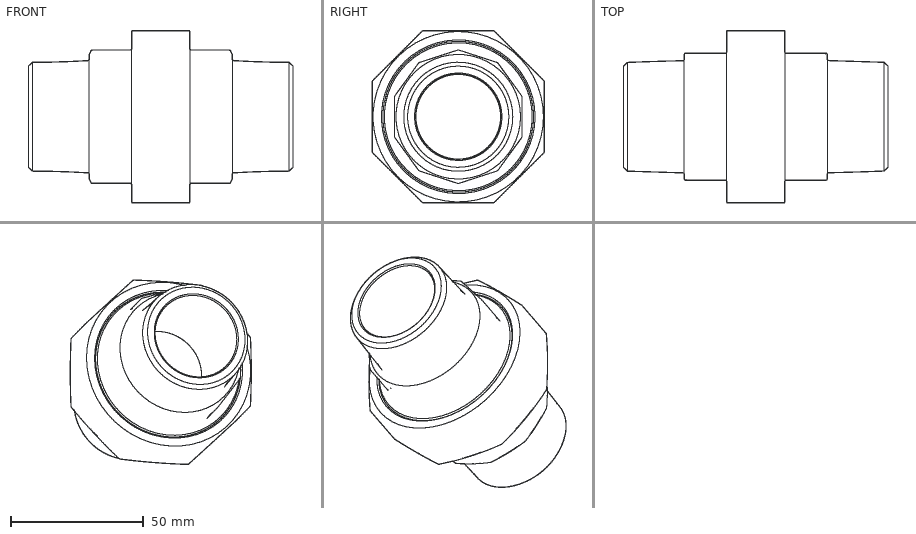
import cadquery as cq
import math

overall_length = 100.0
bore_dia = 32.0
bore_chamfer = 0.5

nut_width = 22.0
nut_across_flats = 65.0
nut_sides = 8
nut_bevel_dia = 64.3
nut_bevel_angle = 22.0
nut_bevel_edge_radius = 0.2

flange_dia = 56.9
joint_chamfer = 0.55

grip_end = 27.0
grip_across_flats = 48.0
grip_sides = 10
grip_bevel_dia = 47.0
grip_bevel_angle = 25.0
grip_bevel_edge_radius = 0.5
root_radius = 0.5
thread_base_dia = 42.5
thread_tip_dia = 38.2
thread_chamfer_length = 1.6
thread_taper = 1 / 16

corner_radius = 1.0

flange_face = nut_width / 2
fitting_end = overall_length / 2
smallest_circle = cq.selectors.RadiusNthSelector(0)


def rounded_prism(sides, across_flats, x_start, x_end):
    """Regular prism along X with two flats facing +Y and -Y and its corners rounded."""
    corner_dia = across_flats / math.cos(math.pi / sides)
    return (
        cq.Workplane("YZ", origin=(x_start, 0, 0))
        .transformed(rotate=(0, 0, 180 / sides))
        .polygon(sides, corner_dia)
        .extrude(x_end - x_start)
        .edges("|X")
        .fillet(corner_radius)
    )


def revolved(outline):
    """Solid turned about X from a list of (x, radius) points."""
    return cq.Workplane("XY").polyline(outline).close().revolve(360, (0, 0, 0), (1, 0, 0))


def bevel_cone(inner_x, face_x, face_dia, angle):
    """Cone that narrows from inner_x to face_dia at face_x, at an angle from the face plane."""
    face_radius = face_dia / 2
    wide_radius = face_radius + (face_x - inner_x) / math.tan(math.radians(angle))
    return revolved([(inner_x, 0), (inner_x, wide_radius), (face_x, face_radius), (face_x, 0)])


def round_bevel_edges(prism, radius):
    """Round the scalloped edges where the conical bevels meet the sides of the prism."""
    return prism.faces("%CONE").edges("not %CIRCLE").fillet(radius)


def make_nut():
    """Octagonal union nut, beveled at both ends, with a plain chamfered bore."""
    nut = rounded_prism(nut_sides, nut_across_flats, -flange_face, flange_face)
    right_cone = bevel_cone(0, flange_face, nut_bevel_dia, nut_bevel_angle)
    nut = nut.intersect(right_cone.union(right_cone.mirror("YZ")))
    nut = round_bevel_edges(nut, nut_bevel_edge_radius)

    bore = cq.Workplane("YZ", origin=(-flange_face, 0, 0)).circle(flange_dia / 2).extrude(nut_width)
    return nut.cut(bore).edges(smallest_circle).chamfer(joint_chamfer)


def make_flange():
    """Round flange that fills one half of the nut bore, flush with the nut face."""
    return (
        cq.Workplane("YZ")
        .circle(flange_dia / 2)
        .extrude(flange_face)
        .faces(">X")
        .chamfer(joint_chamfer)
    )


def make_grip():
    """Decagonal wrench grip with its outer corners beveled."""
    grip = rounded_prism(grip_sides, grip_across_flats, flange_face, grip_end)
    grip = grip.intersect(bevel_cone(flange_face, grip_end, grip_bevel_dia, grip_bevel_angle))
    return round_bevel_edges(grip, grip_bevel_edge_radius)


def make_thread():
    """Tapered pipe thread, simplified to a smooth cone with a chamfered tip."""
    chamfer_start = fitting_end - thread_chamfer_length
    chamfer_start_dia = thread_base_dia - (chamfer_start - grip_end) * thread_taper
    return revolved([
        (grip_end, 0),
        (grip_end, thread_base_dia / 2),
        (chamfer_start, chamfer_start_dia / 2),
        (fitting_end, thread_tip_dia / 2),
        (fitting_end, 0),
    ])


def fillet_shoulder_root(fitting, shoulder_x):
    """Round the root where the next section rises from the flat shoulder at shoulder_x."""
    shoulder = fitting.faces(cq.selectors.NearestToPointSelector((shoulder_x, 0, 0))).val()
    root_edges = shoulder.innerWires()[0].Edges()
    return fitting.newObject(root_edges).fillet(root_radius)


def make_end_fitting():
    """End fitting on the +X side: flange, wrench grip, tapered thread and through bore."""
    fitting = make_flange().union(make_grip()).union(make_thread())
    for shoulder_x in (flange_face, grip_end):
        fitting = fillet_shoulder_root(fitting, shoulder_x)

    bore = cq.Workplane("YZ").circle(bore_dia / 2).extrude(fitting_end)
    fitting = fitting.cut(bore)
    return fitting.faces(">X").edges(smallest_circle).chamfer(bore_chamfer)


nut = make_nut()

end_fitting = make_end_fitting()
end_fittings = [
    end_fitting.rotate((0, 0, 0), (0, 0, 1), turn).solids().val()
    for turn in (0, 180)
]

result = cq.Compound.makeCompound([nut.solids().val(), *end_fittings])